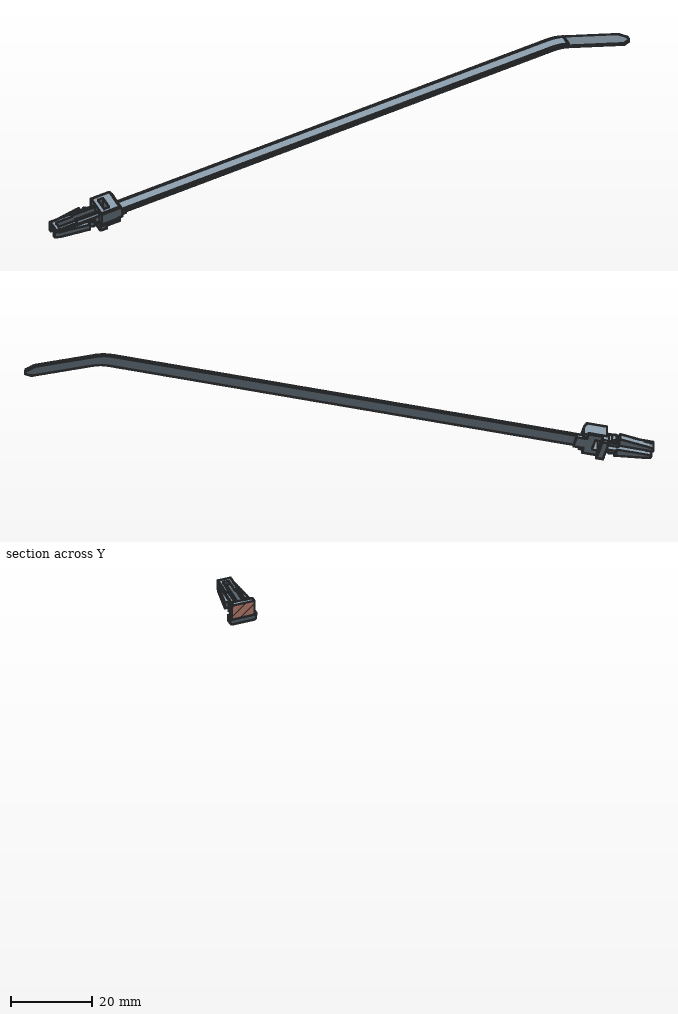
import math

import cadquery as cq


overall_length = 159.51
overall_height = 12.49
head_top = 3.85
tail_bottom = head_top - overall_height

strap_width = 3.4
strap_thickness = 0.85
strap_bevel_width = 0.45
strap_bevel_height = 0.2
tail_thickness = 0.6
bend_start = 137.6
bend_end = 142.2
bend_tangent = (bend_end - bend_start) / 2
drop_angle = math.atan2(-tail_bottom, overall_length - bend_start - bend_tangent)
bend_radius = bend_tangent / math.tan(drop_angle / 2)
tip_taper_length = 2.0
tip_width = 1.0

head_front = 12.2
head_back = 18.0
head_width = 6.0
head_corner_length = 1.4
head_corner_inset = 0.25
head_top_bevel = 0.25
back_bevel_length = 0.75
back_bevel_height = 1.3
window_front = 13.5
window_back = 14.9
window_width = strap_width

flange_width = 6.86
flange_front = 11.8
flange_back = 17.0
lip_length = 1.6
lip_bottom = -1.95
lip_corner = 0.45

base_front = 8.8
base_back = 19.6
base_bottom = -0.5

clip_top = 2.4
spine_side_height = 2.15
clip_root_width = 3.7
clip_tip_width = 3.2
slit_width = 1.5
bridge_length = 1.4
bridge_bottom = 1.3
barb_back = 8.9
barb_front = 1.2
barb_back_width = 6.2
barb_front_width = 4.0
barb_top = 1.75
ridge_top = 2.85
ridge_front = 6.0
ridge_width = 2.6
tip_bevel = 0.3
catch_y = 10.1
catch_radius = 0.6
catch_width = 5.2


def box(width, y_range, z_range):
    """Block centred on X between two Y and two Z positions."""
    length = y_range[1] - y_range[0]
    height = z_range[1] - z_range[0]
    corner = (-width / 2, y_range[0], z_range[0])
    return cq.Workplane("XY").box(width, length, height, centered=False).translate(corner)


def mirrored_outline(half_points):
    """Full point list from the +X half of an outline symmetric about X = 0."""
    return half_points + [(-x, other) for x, other in reversed(half_points)]


def bend_point(angle):
    """Point on the lower side of the bend, as Y and Z, after turning down by the given angle."""
    return (bend_start + bend_radius * math.sin(angle), bend_radius * (math.cos(angle) - 1))


def make_strap():
    """Strap with both long upper edges bevelled, swept straight and then down through the bend."""
    half = strap_width / 2
    section = mirrored_outline([
        (half, 0),
        (half, strap_thickness - strap_bevel_height),
        (half - strap_bevel_width, strap_thickness),
    ])
    path = (
        cq.Workplane("YZ")
        .moveTo(head_back, 0)
        .lineTo(bend_start, 0)
        .threePointArc(bend_point(drop_angle / 2), bend_point(drop_angle))
    )
    return cq.Workplane("XZ", origin=(0, head_back, 0)).polyline(section).close().sweep(path)


def make_tail():
    """Thin flat tail that slopes down from the bend and narrows at its tip."""
    bend_exit_y, bend_exit_z = bend_point(drop_angle)
    vertical_thickness = tail_thickness / math.cos(drop_angle)
    profile = [
        (bend_exit_y, bend_exit_z),
        (overall_length, tail_bottom),
        (overall_length, tail_bottom + vertical_thickness),
        (bend_exit_y, bend_exit_z + vertical_thickness),
    ]
    ribbon = cq.Workplane("YZ").polyline(profile).close().extrude(strap_width / 2, both=True)

    half = strap_width / 2
    plan = mirrored_outline([
        (half, head_back),
        (half, overall_length - tip_taper_length),
        (tip_width / 2, overall_length),
    ])
    outline = cq.Workplane("XY").polyline(plan).close().extrude(overall_height, both=True)
    return ribbon.intersect(outline)


def make_head():
    """Block with a bevelled upper back edge and narrowed back corners."""
    half = head_width / 2
    corner_y = head_back - head_corner_length
    plan = mirrored_outline([
        (half, head_front),
        (half, corner_y),
        (half - head_corner_inset, head_back),
    ])
    block = cq.Workplane("XY").polyline(plan).close().extrude(head_top)
    side = [
        (head_front, 0),
        (head_back, 0),
        (head_back, head_top - back_bevel_height),
        (head_back - back_bevel_length, head_top),
        (head_front, head_top),
    ]
    block = block.intersect(cq.Workplane("YZ").polyline(side).close().extrude(head_width, both=True))
    section = mirrored_outline([
        (half, 0),
        (half, head_top - head_top_bevel),
        (half - head_top_bevel, head_top),
    ])
    return block.intersect(cq.Workplane("XZ").polyline(section).close().extrude(-head_back))


def make_flange():
    """Low flange round the head foot and the lip with bevelled lower corners below its front."""
    foot = box(flange_width, (flange_front, flange_back), (base_bottom, 0))
    half = flange_width / 2
    face = mirrored_outline([
        (half, 0),
        (half, lip_bottom + lip_corner),
        (half - lip_corner, lip_bottom),
    ])
    lip = cq.Workplane("XZ").polyline(face).close().extrude(-lip_length)
    return foot.union(lip.translate((0, flange_front, 0)))


def make_clip():
    """Arrow-shaped clip with barbs and catches, before its slit is cut."""
    root = clip_root_width / 2
    tip = clip_tip_width / 2
    barb = barb_back_width / 2
    barb_plan = mirrored_outline([
        (tip, 0),
        (barb_front_width / 2, barb_front),
        (barb, barb_back),
    ])
    clip = cq.Workplane("XY").polyline(barb_plan).close().extrude(barb_top)

    section = mirrored_outline([
        (root, 0),
        (root, spine_side_height),
        (ridge_width / 2, ridge_top),
    ])
    spine = cq.Workplane("XZ").polyline(section).close().extrude(-head_front)
    side_profile = [
        (0, 0),
        (head_front, 0),
        (head_front, ridge_top),
        (ridge_front, ridge_top),
        (ridge_front, clip_top),
        (tip_bevel, clip_top),
        (0, clip_top - tip_bevel),
    ]
    spine = spine.intersect(cq.Workplane("YZ").polyline(side_profile).close().extrude(root, both=True))
    spine_plan = mirrored_outline([
        (tip, 0),
        (root, barb_front),
        (root, head_front),
    ])
    spine = spine.intersect(cq.Workplane("XY").polyline(spine_plan).close().extrude(ridge_top))
    clip = clip.union(spine)

    catch_offset = catch_width / 2 - catch_radius
    for side in (-1, 1):
        catch = cq.Workplane("XY").center(side * catch_offset, catch_y).circle(catch_radius)
        clip = clip.union(catch.extrude(barb_top))
    return clip


def cut_openings(body):
    """Cuts the strap window, the slit between the legs and the gap below the tip bridge."""
    window = box(window_width, (window_front, window_back), (lip_bottom, head_top))
    slit = box(slit_width, (bridge_length, head_front), (base_bottom, head_top))
    gap = box(slit_width, (0, bridge_length), (0, bridge_bottom))
    return body.cut(window).cut(slit).cut(gap)


base_plate = box(strap_width, (base_front, base_back), (base_bottom, 0))
body = make_strap().union(make_tail()).union(make_head()).union(make_flange())
body = body.union(make_clip()).union(base_plate)
result = cut_openings(body)